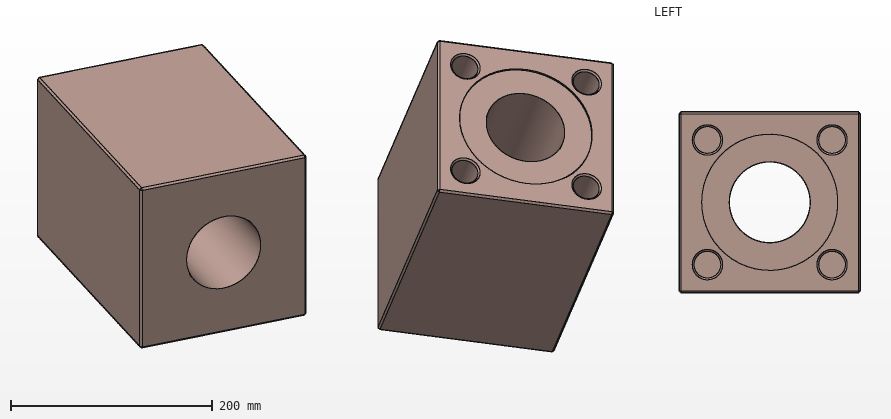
import cadquery as cq

length = 260.0
width = 180.0
edge_chamfer = 2.0

bore_diameter = 80.0
recess_diameter = 135.2
recess_depth = 2.0

hole_diameter = 26.5
hole_mouth_diameter = 30.2
hole_depth = 59.8
hole_spacing = 123.8
hole_chamfer = (hole_mouth_diameter - hole_diameter) / 2

end_face = cq.Workplane("YZ", origin=(-length / 2, 0, 0))


def mounting_holes():
    """Four flat-bottomed holes with chamfered mouths."""
    centers = end_face.rect(hole_spacing, hole_spacing, forConstruction=True).vertices()
    holes = centers.circle(hole_diameter / 2).extrude(hole_depth)
    mouths = (
        end_face.rect(hole_spacing, hole_spacing, forConstruction=True)
        .vertices()
        .circle(hole_mouth_diameter / 2)
        .extrude(hole_chamfer, taper=45)
    )
    return holes.union(mouths)


block = cq.Workplane("XY").box(length, width, width).edges().chamfer(edge_chamfer)
bore = end_face.circle(bore_diameter / 2).extrude(length)
recess = end_face.circle(recess_diameter / 2).extrude(recess_depth)

result = block.cut(bore).cut(recess).cut(mounting_holes())